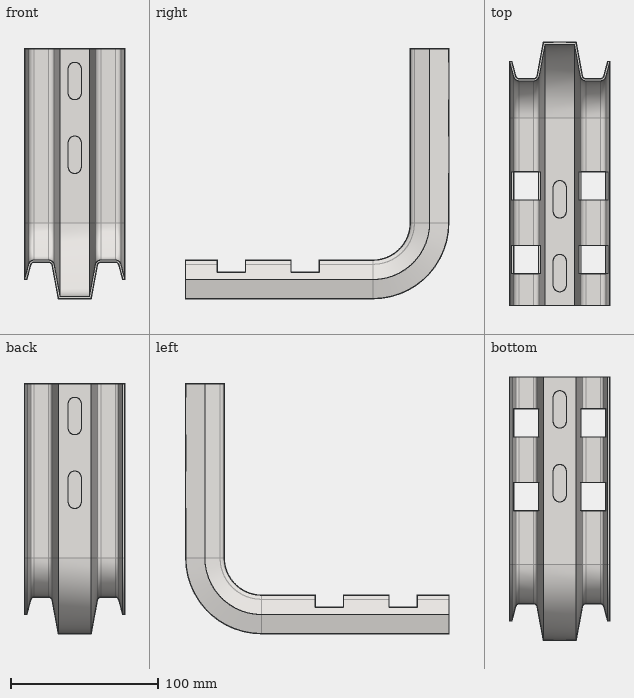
import cadquery as cq
import math

total_width = 68.0
foot_length = 178.7
total_height = 169.8

sheet = 1.5
channel_depth = 26.3
floor_width = 22.3
web_angle = 10.5
lip_angle = 15.0
lip_edge_height = 13.0
fold_radius = 4.0
bend_inner_radius = 25.2
bend_outer_radius = bend_inner_radius + channel_depth
bend_angle = 90

feature_pitch = 50.0
features_per_arm = 2
notch_end_gap = 21.6
notch_length = 19.0
notch_floor_height = 18.0
slot_end_gap = 9.3
slot_length = 25.4
slot_width = 9.0
slot_turn = 90
slot_pad_height = 0.09
slab_length = 1.8
match_tolerance = 0.02

foot_reach = foot_length - slot_pad_height
upright_reach = total_height - slot_pad_height
foot_end = -foot_reach


def half_faces():
    """Floor-side and flange-side corner points (x, height) of the right half."""
    web_lean = math.tan(math.radians(web_angle))
    lip_lean = math.tan(math.radians(lip_angle))
    web_run = sheet / math.cos(math.radians(web_angle))
    lip_run = sheet / math.cos(math.radians(lip_angle))
    floor_half = floor_width / 2
    lip_edge = total_width / 2
    under = channel_depth - sheet

    def web_x(height):
        return floor_half + height * web_lean

    def lip_x(height):
        return lip_edge - (height - lip_edge_height) * lip_lean

    lower = [
        (floor_half, 0),
        (web_x(under), under),
        (lip_x(under) - lip_run, under),
        (lip_edge - lip_run, lip_edge_height),
    ]
    upper = [
        (web_x(sheet) - web_run, sheet),
        (web_x(channel_depth) - web_run, channel_depth),
        (lip_x(channel_depth), channel_depth),
        (lip_edge, lip_edge_height),
    ]
    return lower, upper


def mirrored(points):
    return [(-x, height) for x, height in points]


def section_outline():
    """Closed channel outline, starting from the left lip edge along the floor side."""
    lower, upper = half_faces()
    return mirrored(lower)[::-1] + lower + upper[::-1] + mirrored(upper)


def edges_through(slab, points):
    """Edges of the slab along Y that pass through any of the (x, height) points."""
    chosen = []
    for edge in slab.edges("|Y").vals():
        middle = edge.Center()
        if any(math.hypot(middle.x - x, middle.z - height) < match_tolerance for x, height in points):
            chosen.append(edge)
    return chosen


def folded_section():
    """Face of the channel section in the XZ plane, with its flange folds rounded."""
    slab = cq.Workplane("XZ").polyline(section_outline()).close().extrude(slab_length)
    lower, upper = half_faces()
    for face_points, radius in ((upper, fold_radius), (lower, fold_radius - sheet)):
        fold_corners = face_points[1:3]
        both_sides = fold_corners + mirrored(fold_corners)
        slab = slab.newObject(edges_through(slab, both_sides)).fillet(radius)
    return slab.faces(">Y").val()


def bracket_body():
    """Foot, elbow and upright swept from one section."""
    section = folded_section().translate(cq.Vector(0, -bend_outer_radius, 0))
    bend_axis_start = cq.Vector(0, -bend_outer_radius, bend_outer_radius)
    bend_axis_end = bend_axis_start + cq.Vector(1.8, 0, 0)
    upright_section = section.rotate(bend_axis_start, bend_axis_end, bend_angle)
    foot_straight = foot_reach - bend_outer_radius
    upright_straight = upright_reach - bend_outer_radius
    foot = cq.Solid.extrudeLinear(section, cq.Vector(0, -foot_straight, 0))
    upright = cq.Solid.extrudeLinear(upright_section, cq.Vector(0, 0, upright_straight))
    elbow = cq.Solid.revolve(section, bend_angle, bend_axis_start, bend_axis_end)
    return cq.Workplane(foot).union(cq.Workplane(elbow)).union(cq.Workplane(upright))


def along_arm(first):
    return [first + i * feature_pitch for i in range(features_per_arm)]


def notches():
    """Square cutters opening the folded flanges of the foot."""
    cutters = cq.Workplane()
    for gap in along_arm(notch_end_gap):
        cutters = cutters.add(
            cq.Workplane(origin=(0, foot_end + gap, notch_floor_height))
            .box(total_width, notch_length, channel_depth, centered=(True, False, False))
        )
    return cutters.combine()


def slot_blanks():
    """Blanked slots, just proud of both faces of the channel floor."""
    blank_height = sheet + 2 * slot_pad_height
    first_center = slot_end_gap + slot_length / 2
    foot_spots = [(0, foot_end + d) for d in along_arm(first_center)]
    upright_spots = [(0, upright_reach - d) for d in along_arm(first_center)]
    foot_blanks = (
        cq.Workplane("XY", origin=(0, 0, -slot_pad_height))
        .pushPoints(foot_spots)
        .slot2D(slot_length, slot_width, slot_turn)
        .extrude(blank_height)
    )
    upright_blanks = (
        cq.Workplane("XZ", origin=(0, slot_pad_height, 0))
        .pushPoints(upright_spots)
        .slot2D(slot_length, slot_width, slot_turn)
        .extrude(blank_height)
    )
    return foot_blanks, upright_blanks


foot_blanks, upright_blanks = slot_blanks()
result = bracket_body().cut(notches()).union(foot_blanks).union(upright_blanks)